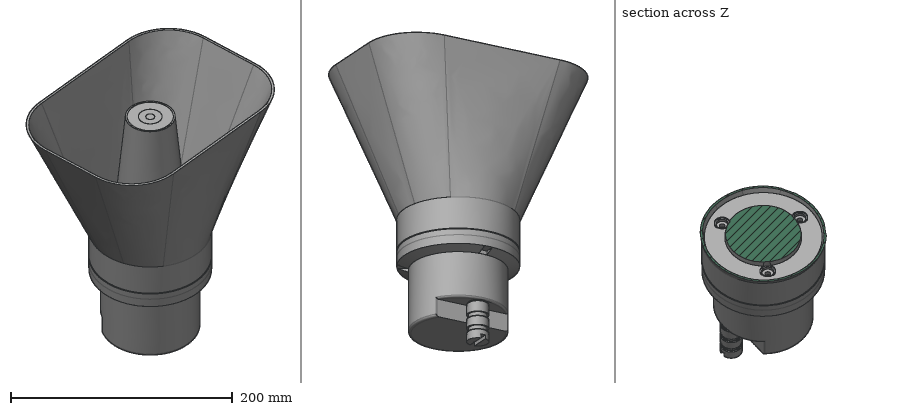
import cadquery as cq
import math

TOTAL_HEIGHT = 271.0

MOUTH_X = 160.0
MOUTH_Y = 220.0
MOUTH_CORNER_RADIUS = 49.9
HORN_WALL = 2.5
HORN_BASE_RADIUS = 55.5
HORN_FLARE_Z = 131.2
HORN_BOTTOM_Z = 100.8

PLUG_BASE_RADIUS = 34.7
PLUG_TOP_RADIUS = 22.5
PLUG_TOP_Z = 260.2
PLUG_STEP_DIAMETERS = (41.7, 21.5, 8.0)
PLUG_STEP_DEPTH = 0.14

SCREW_SEAT_STEPS = ((14.0, 1.4), (11.0, 4.0), (5.0, 8.0), (3.3, 13.5))
SCREW_CIRCLE_RADIUS = 40.6
SCREW_COUNT = 3

FLANGE_RADIUS = HORN_BASE_RADIUS
FLANGE_STRAIGHT_Z = 94.3
FLANGE_LOWER_Z = 86.0
FLANGE_DRAFT_ANGLE = 0.5
JOINT_GROOVE_HEIGHT = 0.5
JOINT_GROOVE_DEPTH = 0.5
BARREL_RADIUS = 45.0
BARREL_TOP_Z = 82.0
BARREL_BOTTOM_Z = 21.0
BARREL_FILLET = 2.5

FLANGE_SLOT_WIDTH = 8.0
FLANGE_SLOT_COUNT = 3

NOTCH_X = -25.5
NOTCH_TOP_Z = 38.0
NOTCH_ROOF_FILLET = 2.0
NOTCH_CORNER_FILLET = 1.4

GLAND_X = -35.5
GLAND_RADIUS = 10.0
GLAND_GROOVE_DIAMETER = 17.0
GLAND_CHAMFER = 0.8
GLAND_COLLARS = ((26.0, 36.9), (13.0, 22.2), (0.0, 9.2))
GLAND_SLOT_WIDTH = 4.5
GLAND_SLOT_DEPTH = 3.8


def cylinder(radius, bottom_z, top_z):
    return cq.Workplane("XY", origin=(0, 0, bottom_z)).circle(radius).extrude(top_z - bottom_z)


def base_and_mouth_wires(inset):
    """Base and mouth outlines, moved inward by inset, each split at the same eight angles."""
    half_x = MOUTH_X / 2 - inset
    half_y = MOUTH_Y / 2 - inset
    corner = MOUTH_CORNER_RADIUS - inset
    flat_x = half_x - corner
    flat_y = half_y - corner
    corner_mid = corner * math.sqrt(0.5)
    base_radius = HORN_BASE_RADIUS - inset

    def base_point(angle):
        return cq.Vector(base_radius * math.cos(angle), base_radius * math.sin(angle), HORN_FLARE_Z)

    def mouth_point(x, y):
        return cq.Vector(x, y, TOTAL_HEIGHT)

    ends = [
        (half_x, -flat_y), (half_x, flat_y), (flat_x, half_y), (-flat_x, half_y),
        (-half_x, flat_y), (-half_x, -flat_y), (-flat_x, -half_y), (flat_x, -half_y),
    ]
    mouth_edges = []
    base_edges = []
    for index, start in enumerate(ends):
        end = ends[(index + 1) % len(ends)]
        if index % 2 == 0:
            mouth_edges.append(cq.Edge.makeLine(mouth_point(*start), mouth_point(*end)))
        else:
            middle = (
                math.copysign(flat_x + corner_mid, start[0]),
                math.copysign(flat_y + corner_mid, start[1]),
            )
            mouth_edges.append(
                cq.Edge.makeThreePointArc(mouth_point(*start), mouth_point(*middle), mouth_point(*end))
            )
        start_angle = math.atan2(start[1], start[0])
        sweep = (math.atan2(end[1], end[0]) - start_angle) % (2 * math.pi)
        base_edges.append(
            cq.Edge.makeThreePointArc(
                base_point(start_angle), base_point(start_angle + sweep / 2), base_point(start_angle + sweep)
            )
        )
    return cq.Wire.assembleEdges(base_edges), cq.Wire.assembleEdges(mouth_edges)


def flare(inset):
    return cq.Workplane(cq.Solid.makeLoft(list(base_and_mouth_wires(inset)), True))


def make_plug():
    profile = [
        (0, HORN_FLARE_Z),
        (PLUG_BASE_RADIUS, HORN_FLARE_Z),
        (PLUG_TOP_RADIUS, PLUG_TOP_Z),
        (0, PLUG_TOP_Z),
    ]
    plug = cq.Workplane("XZ").polyline(profile).close().revolve(360, (0, 0, 0), (0, 1, 0))
    for level, diameter in enumerate(PLUG_STEP_DIAMETERS, start=1):
        plug = plug.cut(cylinder(diameter / 2, PLUG_TOP_Z - level * PLUG_STEP_DEPTH, PLUG_TOP_Z))
    return plug


def make_screw_seat(index):
    """Stepped cutter for one screw seat, tall enough to clear the foot of the plug."""
    opening_top = HORN_FLARE_Z + SCREW_CIRCLE_RADIUS
    seat = cq.Workplane("XY")
    for diameter, depth in SCREW_SEAT_STEPS:
        seat = seat.add(cylinder(diameter / 2, HORN_FLARE_Z - depth, opening_top))
    angle = 360 / SCREW_COUNT * index
    seat = seat.combine().translate((SCREW_CIRCLE_RADIUS, 0, 0))
    return seat.rotate((0, 0, 0), (0, 0, 1), angle)


def make_horn():
    horn = flare(0).cut(flare(HORN_WALL))
    horn = horn.union(cylinder(HORN_BASE_RADIUS, HORN_BOTTOM_Z, HORN_FLARE_Z)).union(make_plug())
    for index in range(SCREW_COUNT):
        horn = horn.cut(make_screw_seat(index))
    return horn


def make_barrel():
    """Round barrel above the notch, and a flat-sided foot with rounded upright corners below."""
    upper = cylinder(BARREL_RADIUS, NOTCH_TOP_Z, BARREL_TOP_Z)
    upper = upper.faces("<Z").edges().fillet(NOTCH_ROOF_FILLET)

    foot_top_z = NOTCH_TOP_Z + NOTCH_ROOF_FILLET
    half_chord = math.sqrt(BARREL_RADIUS**2 - NOTCH_X**2)
    foot = (
        cq.Workplane("XY", origin=(0, 0, BARREL_BOTTOM_Z))
        .moveTo(NOTCH_X, -half_chord)
        .threePointArc((BARREL_RADIUS, 0), (NOTCH_X, half_chord))
        .close()
        .extrude(foot_top_z - BARREL_BOTTOM_Z)
        .edges("|Z and <X")
        .fillet(NOTCH_CORNER_FILLET)
    )
    rounded_blank = cylinder(BARREL_RADIUS, BARREL_BOTTOM_Z, foot_top_z)
    rounded_blank = rounded_blank.faces("<Z").edges().fillet(BARREL_FILLET)
    return upper.union(foot.intersect(rounded_blank))


def make_flange():
    draft = (FLANGE_STRAIGHT_Z - FLANGE_LOWER_Z) * math.tan(math.radians(FLANGE_DRAFT_ANGLE))
    groove_radius = FLANGE_RADIUS - JOINT_GROOVE_DEPTH
    groove_z = HORN_BOTTOM_Z - JOINT_GROOVE_HEIGHT
    profile = [
        (0, BARREL_TOP_Z),
        (BARREL_RADIUS, BARREL_TOP_Z),
        (FLANGE_RADIUS - draft, FLANGE_LOWER_Z),
        (FLANGE_RADIUS, FLANGE_STRAIGHT_Z),
        (FLANGE_RADIUS, groove_z),
        (groove_radius, groove_z),
        (groove_radius, HORN_BOTTOM_Z),
        (0, HORN_BOTTOM_Z),
    ]
    flange = cq.Workplane("XZ").polyline(profile).close().revolve(360, (0, 0, 0), (0, 1, 0))
    slot_height = FLANGE_LOWER_Z - BARREL_TOP_Z
    slot = (
        cq.Workplane("XY", origin=(-FLANGE_RADIUS, 0, BARREL_TOP_Z))
        .rect(2 * (FLANGE_RADIUS - BARREL_RADIUS), FLANGE_SLOT_WIDTH)
        .extrude(slot_height)
    )
    for index in range(FLANGE_SLOT_COUNT):
        flange = flange.cut(slot.rotate((0, 0, 0), (0, 0, 1), 360 / FLANGE_SLOT_COUNT * index))
    return flange


def make_housing():
    return make_flange().union(make_barrel())


def make_gland():
    gland = cylinder(GLAND_GROOVE_DIAMETER / 2, 0, NOTCH_TOP_Z)
    for bottom_z, top_z in GLAND_COLLARS:
        collar = cylinder(GLAND_RADIUS, bottom_z, top_z).faces(">Z").chamfer(GLAND_CHAMFER)
        gland = gland.union(collar)
    slot = cq.Workplane("XY").rect(2 * GLAND_RADIUS, GLAND_SLOT_WIDTH).extrude(GLAND_SLOT_DEPTH)
    return gland.cut(slot).translate((GLAND_X, 0, 0))


horn = make_horn()
housing = make_housing()
gland = make_gland()

result = cq.Compound.makeCompound([horn.val(), housing.val(), gland.val()])